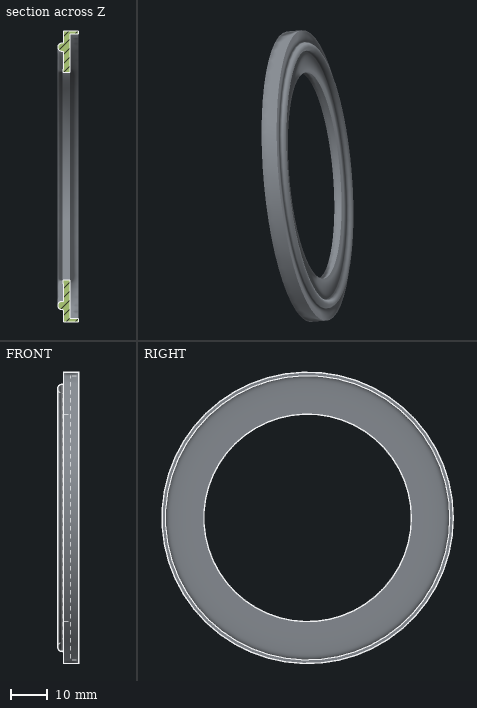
import cadquery as cq

OUTER_DIAMETER = 79.5
BORE_DIAMETER = 56.5
OVERALL_THICKNESS = 5.8
RIM_THICKNESS = 4.25
FACE_RISE = 0.1
BEAD_MEAN_DIAMETER = 70.5
BEAD_WIDTH = 2.4
ROOT_FILLET = 0.2
BEAD_BASE_HEIGHT = 0.35
LIP_THICKNESS = 1.0
RECESS_DEPTH = 2.3

RIM_FRONT_X = -RIM_THICKNESS
BORE_FRONT_X = RIM_FRONT_X - FACE_RISE
BEAD_SHOULDER_X = RIM_FRONT_X - BEAD_BASE_HEIGHT
BEAD_CREST_X = -OVERALL_THICKNESS
RECESS_FLOOR_X = -RECESS_DEPTH
ROOT_FILLET_TOP_X = RIM_FRONT_X - ROOT_FILLET

OUTER_RADIUS = OUTER_DIAMETER / 2
RECESS_RADIUS = OUTER_RADIUS - LIP_THICKNESS
BORE_RADIUS = BORE_DIAMETER / 2
BEAD_RADIUS = BEAD_MEAN_DIAMETER / 2
BEAD_INNER_RADIUS = BEAD_RADIUS - BEAD_WIDTH / 2
BEAD_OUTER_RADIUS = BEAD_RADIUS + BEAD_WIDTH / 2


def radial_section():
    """Section in the XY plane: web with a crowned bead in front and a lip behind."""
    return (
        cq.Workplane("XY")
        .moveTo(RECESS_FLOOR_X, BORE_RADIUS)
        .lineTo(RECESS_FLOOR_X, RECESS_RADIUS)
        .lineTo(0, RECESS_RADIUS)
        .lineTo(0, OUTER_RADIUS)
        .lineTo(RIM_FRONT_X, OUTER_RADIUS)
        .lineTo(RIM_FRONT_X, BEAD_OUTER_RADIUS + ROOT_FILLET)
        .radiusArc((ROOT_FILLET_TOP_X, BEAD_OUTER_RADIUS), ROOT_FILLET)
        .lineTo(BEAD_SHOULDER_X, BEAD_OUTER_RADIUS)
        .threePointArc((BEAD_CREST_X, BEAD_RADIUS), (BEAD_SHOULDER_X, BEAD_INNER_RADIUS))
        .lineTo(ROOT_FILLET_TOP_X, BEAD_INNER_RADIUS)
        .radiusArc((RIM_FRONT_X, BEAD_INNER_RADIUS - ROOT_FILLET), ROOT_FILLET)
        .lineTo(BORE_FRONT_X, BORE_RADIUS)
        .close()
    )


result = radial_section().revolve(360, (0, 0, 0), (1, 0, 0))